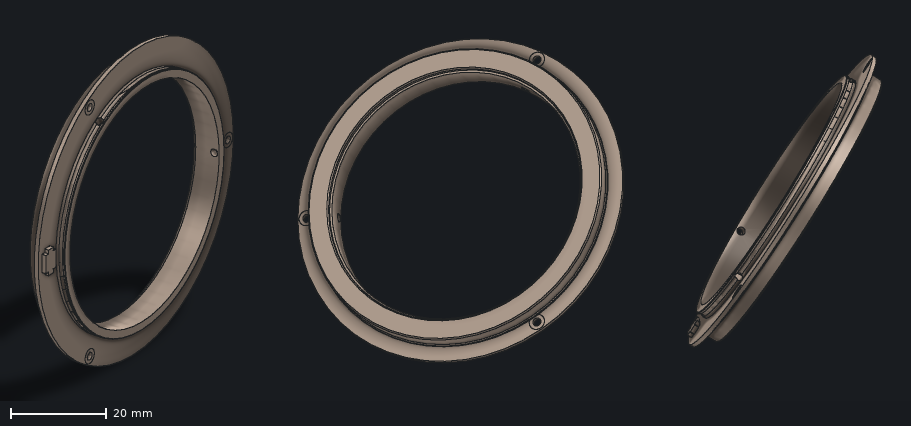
import cadquery as cq

LENGTH = 7.0
FRONT_X = -LENGTH / 2
REAR_X = LENGTH / 2

BORE_DIA = 55.0
COUNTERBORE_DIA = 56.0
COUNTERBORE_DEPTH = 1.0
BARREL_DIA = 65.0
BARREL_LENGTH = 3.3
BARREL_GROOVE_DIA = 64.0
BARREL_GROOVE_WIDTH = 0.2
BARREL_CHAMFER = 0.3
BORE_CHAMFER = 0.3
STEP_DIA = 65.5
FLANGE_DIA = 72.0
FLANGE_FRONT_X = FRONT_X + 3.75
FLANGE_THICKNESS = 1.0
FLANGE_REAR_X = FLANGE_FRONT_X + FLANGE_THICKNESS
COLLAR_DIA = 59.0
COLLAR_CHAMFER = 0.15

GROOVE_CENTER_X = FRONT_X + 6.0
GROOVE_WIDTH = 0.9
GROOVE_DEPTH = 0.35

COPIES = 3
PITCH_ANGLE = 360.0 / COPIES
RADIAL_HOLE_DIA = 1.7
RADIAL_HOLE_X = FRONT_X + 5.7

BUSHING_DIA = 3.4
BUSHING_HOLE_DIA = 1.7
BUSHING_RADIUS = 34.0

BLOCK_LENGTH = 6.05
BLOCK_END_TAB_WIDTH = 1.8
BLOCK_BODY_LENGTH = 4.3
BLOCK_INNER_RADIUS = 30.8
BLOCK_OUTER_RADIUS = 34.55
BLOCK_THICKNESS = 1.0
BLOCK_RELIEF_CHAMFER = 0.6

CUT_MARGIN = 0.7


def around_axis(shape, angle):
    """Turn a shape about the ring axis by an angle measured from +Y."""
    return shape.rotate((0, 0, 0), (1, 0, 0), angle)


def revolve_about_x(points):
    """Revolve an (x, radius) outline about the X axis."""
    return cq.Workplane("XY").polyline(points).close().revolve(360.0, (0, 0, 0), (1, 0, 0))


def ring_blank():
    bore = BORE_DIA / 2
    counterbore = COUNTERBORE_DIA / 2
    barrel = BARREL_DIA / 2
    barrel_groove = BARREL_GROOVE_DIA / 2
    step = STEP_DIA / 2
    flange = FLANGE_DIA / 2
    collar = COLLAR_DIA / 2
    step_x = FRONT_X + BARREL_LENGTH
    groove_x = step_x - BARREL_GROOVE_WIDTH
    return revolve_about_x([
        (FRONT_X, counterbore + BORE_CHAMFER),
        (FRONT_X, barrel - BARREL_CHAMFER),
        (FRONT_X + BARREL_CHAMFER, barrel),
        (groove_x, barrel),
        (groove_x, barrel_groove),
        (step_x, barrel_groove),
        (step_x, step),
        (FLANGE_FRONT_X, step),
        (FLANGE_FRONT_X, flange),
        (FLANGE_REAR_X, flange),
        (FLANGE_REAR_X, collar),
        (REAR_X - COLLAR_CHAMFER, collar),
        (REAR_X, collar - COLLAR_CHAMFER),
        (REAR_X, bore),
        (FRONT_X + COUNTERBORE_DEPTH, bore),
        (FRONT_X + COUNTERBORE_DEPTH, counterbore),
        (FRONT_X + BORE_CHAMFER, counterbore),
    ])


def groove_cutter():
    """Full-circle cutter of the collar groove."""
    front_x = GROOVE_CENTER_X - GROOVE_WIDTH / 2
    rear_x = GROOVE_CENTER_X + GROOVE_WIDTH / 2
    rim = COLLAR_DIA / 2
    return (
        cq.Workplane("XY")
        .moveTo(front_x, rim + CUT_MARGIN)
        .lineTo(front_x, rim)
        .threePointArc((GROOVE_CENTER_X, rim - GROOVE_DEPTH), (rear_x, rim))
        .lineTo(rear_x, rim + CUT_MARGIN)
        .close()
        .revolve(360.0, (0, 0, 0), (1, 0, 0))
    )


def radial_hole_cutter():
    return (
        cq.Workplane("XZ", origin=(RADIAL_HOLE_X, 0, 0))
        .circle(RADIAL_HOLE_DIA / 2)
        .extrude(-COLLAR_DIA / 2 - CUT_MARGIN)
    )


def bushing_blank():
    return (
        cq.Workplane("YZ", origin=(FLANGE_FRONT_X, BUSHING_RADIUS, 0))
        .circle(BUSHING_DIA / 2)
        .extrude(FLANGE_THICKNESS)
    )


def make_ring():
    ring = ring_blank().cut(groove_cutter())
    for copy in range(COPIES):
        angle = copy * PITCH_ANGLE
        ring = ring.cut(around_axis(radial_hole_cutter(), angle))
        ring = ring.cut(around_axis(bushing_blank(), angle))
    return ring


def make_bushing(angle):
    bushing = bushing_blank().faces("<X").workplane().hole(BUSHING_HOLE_DIA)
    return around_axis(bushing, angle)


def make_stop_block():
    """Block with a narrower tab standing out of the middle of each end."""
    body_width = BLOCK_OUTER_RADIUS - BLOCK_INNER_RADIUS
    center_y = -(BLOCK_INNER_RADIUS + BLOCK_OUTER_RADIUS) / 2
    rear_face = cq.Workplane("YZ", origin=(FLANGE_REAR_X, center_y, 0))
    body = rear_face.rect(body_width, BLOCK_BODY_LENGTH).extrude(BLOCK_THICKNESS)
    body = body.faces("<X").edges(">Y").chamfer(BLOCK_RELIEF_CHAMFER)
    tabs = rear_face.rect(BLOCK_END_TAB_WIDTH, BLOCK_LENGTH).extrude(BLOCK_THICKNESS)
    return body.union(tabs)


ring = make_ring()
bushings = [make_bushing(copy * PITCH_ANGLE) for copy in range(COPIES)]
stop_block = make_stop_block()

result = cq.Compound.makeCompound(
    [ring.val(), *[bushing.val() for bushing in bushings], stop_block.val()]
)